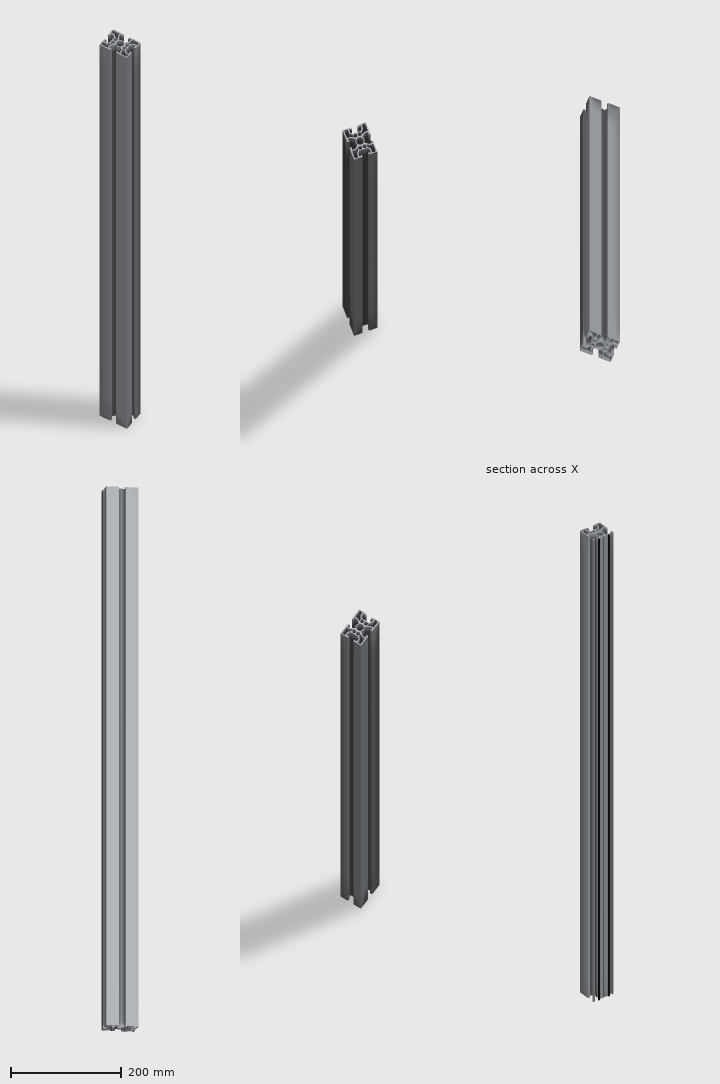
import cadquery as cq
import math

width = 60.0
depth = 45.0
length = 1000.0
corner_radius = 0.5

bore_radius = 6.9
tube_radius = 8.6

mouth_half = 6.0
mouth_fillet = 1.0
lip_edge_depth = 4.7
lip_edge_half = 7.1
lip_depth = 2.8
lip_taper = 0.5
lip_overhang = 5.2
slot_half = mouth_half + lip_overhang
straight_depth = 8.8

side_floor_half = 7.7
side_slope_depth = 3.7
side_floor_x = width / 2 - straight_depth - side_slope_depth

tube_contact_half = 5.7
tube_contact_y = math.sqrt(tube_radius**2 - tube_contact_half**2)

groove_half = 1.0
groove_depth = 0.5

narrow_side_wall = 1.6
wide_side_wall = 2.2
slot_wall = 2.2
tail_root_width = 6.8
tail_end_width = 5.8
tail_end_x = 9.9
tail_end_y = 8.6

side_hole_radius = 3.6
side_hole_inset = 5.0
side_hole_x = side_floor_x - side_hole_inset
side_hole_y = 4.2

quadrants = [(sx, sy) for sx in (1, -1) for sy in (1, -1)]


def mirrored(points):
    """A chain of points followed by its reflection in the Y axis, in reverse order."""
    return points + [(-x, y) for x, y in reversed(points)]


def prism(points):
    return cq.Workplane("XY").polyline(points).close().extrude(length)


def turned(body, angle):
    return body.rotate((0, 0, 0), (0, 0, 1), angle)


def mouth_rounding(face_y):
    """Rods that round the two mouth edges of a slot in a face at +Y."""
    centers = mirrored([(mouth_half + mouth_fillet, face_y - mouth_fillet)])
    return cq.Workplane("XY").pushPoints(centers).circle(mouth_fillet).extrude(length)


def slot(face_y, floor_half, floor_y):
    """T-slot opening through a face at +Y, narrowing to a flat floor."""
    lip_y = face_y - lip_depth
    lip_edge_y = face_y - lip_edge_depth
    half_outline = [
        (mouth_half + mouth_fillet, face_y),
        (mouth_half, face_y - mouth_fillet),
        (mouth_half, lip_edge_y),
        (lip_edge_half, lip_edge_y),
        (lip_edge_half + lip_taper, lip_y),
        (slot_half, lip_y),
        (slot_half, face_y - straight_depth),
        (floor_half, floor_y),
    ]
    return prism(mirrored(half_outline)).cut(mouth_rounding(face_y))


def groove(floor_y):
    """V-groove in a slot floor at +Y; its sides run on past the floor to clear a curved one."""
    top_half = 2 * groove_half
    top_y = floor_y + groove_depth
    return prism([(-top_half, top_y), (0, floor_y - groove_depth), (top_half, top_y)])


def corner_hollow(sx, sy):
    """Hollow inside one corner, with its tail."""
    outer_x = width / 2 - narrow_side_wall
    outer_y = depth / 2 - wide_side_wall
    inner = slot_half + slot_wall
    outline = [
        (outer_x, outer_y),
        (inner, outer_y),
        (inner, inner),
        (tail_end_x, tail_end_y),
        (tail_end_x + tail_end_width, tail_end_y),
        (inner + tail_root_width, inner),
        (outer_x, inner),
    ]
    return prism([(sx * x, sy * y) for x, y in outline])


result = cq.Workplane("XY").rect(width, depth).extrude(length).edges("|Z").fillet(corner_radius)

tube = cq.Workplane("XY").circle(tube_radius).extrude(length)
wide_slot = slot(depth / 2, tube_contact_half, tube_contact_y).cut(tube).union(groove(tube_radius))
side_slot = slot(width / 2, side_floor_half, side_floor_x).union(groove(side_floor_x))
for angle in (0, 180):
    result = result.cut(turned(wide_slot, angle))
    result = result.cut(turned(side_slot, angle + 90))

for sx, sy in quadrants:
    result = result.cut(corner_hollow(sx, sy))

bore = cq.Workplane("XY").circle(bore_radius).extrude(length)
side_holes = (
    cq.Workplane("XY")
    .pushPoints([(sx * side_hole_x, sy * side_hole_y) for sx, sy in quadrants])
    .circle(side_hole_radius)
    .extrude(length)
)
result = result.cut(bore).cut(side_holes)